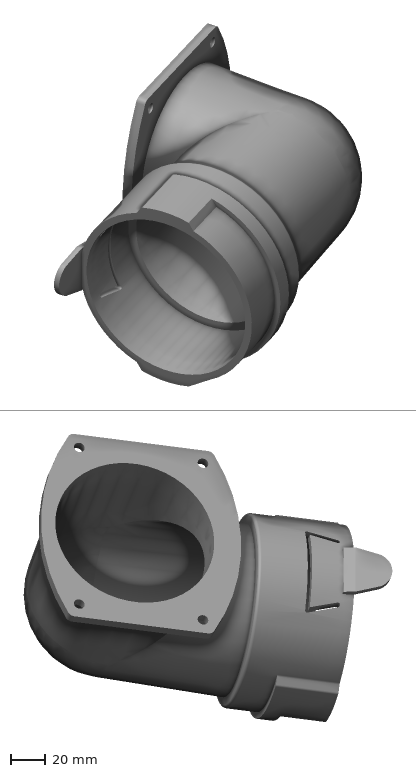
import cadquery as cq
import math


bend_radius = 49.0
bend_bore_radius = 45.5
pipe_end_radius = 51.3
bore_end_radius = 47.7

flange_face = -68.5
flange_thickness = 6.0
flange_height = 126.0
flange_width = 120.0
flange_offset = -3.8
flange_side_radius = 122.0
flange_corner_radius = 4.2
screw_hole_diameter = 6.4
screw_spacing_y = 74.2
screw_spacing_z = 108.1

collar_back = -76.1
collar_mouth = -134.6
collar_radius = 115.0 / 2
collar_bore_radius = 106.0 / 2
collar_shoulder_depth = 2.5
collar_shoulder_drop = 0.6
collar_shoulder_radius = 2.0
collar_shelf = -84.8

rim_radius = 61.3
pad_back = -97.0
band_width = 10.2
pad_start_foot_x = -19.5
pad_start_crest_x = -16.1
pad_end_crest_x = 15.3
upper_pad_end_foot_x = 18.5
lower_pad_end_foot_x = 29.3
pad_fillet = 2.0

slot_width = 2.5
slot_y = -107.7
slot_half_height = 26.7
slot_tip_y = -125.5
slot_tip_half_height = 21.8
slot_cut_depth = 25.5
tab_root_y = -127.8
tab_tip_y = flange_offset + flange_width / 2 - 212.0
tab_root_x = -57.7
tab_mouth_x = -59.5
tab_tip_x = -63.0
tab_thickness = 3.4
tab_half_width = 15.3
tab_shoulder_half_width = 10.8
tab_shoulder_y = -149.2


def cone_along_y(start_radius, end_radius, end_y):
    """Solid cone from the origin to end_y on the -Y axis."""
    outline = [(0, 0), (start_radius, 0), (end_radius, end_y), (0, end_y)]
    return cq.Workplane("XY").polyline(outline).close().revolve(360, (0, 0), (0, 1))


def cone_along_x(start_radius, end_radius, end_x):
    """Solid cone from the origin to end_x on the -X axis."""
    outline = [(0, 0), (0, start_radius), (end_x, end_radius), (end_x, 0)]
    return cq.Workplane("XY").polyline(outline).close().revolve(360, (0, 0), (1, 0))


def elbow(corner_radius, end_radius, end_x, end_y):
    """Two tapered legs joined by a ball at the corner."""
    ball = cq.Workplane("XY").sphere(corner_radius)
    leg_x = cone_along_x(corner_radius, end_radius, end_x)
    leg_y = cone_along_y(corner_radius, end_radius, end_y)
    return leg_x.union(leg_y).union(ball)


def flange():
    """Plate with flat top and bottom, bowed sides and four screw holes."""
    side_centre = flange_width / 2 - flange_side_radius
    plane = cq.Workplane("YZ", origin=(flange_face, flange_offset, 0))
    plate = plane.rect(flange_width, flange_height).extrude(flange_thickness)
    for side in (-1, 1):
        disc = plane.center(side * side_centre, 0).circle(flange_side_radius).extrude(flange_thickness)
        plate = plate.intersect(disc)
    plate = plate.edges("|X").fillet(flange_corner_radius)
    holes = (
        plane.rect(screw_spacing_y, screw_spacing_z, forConstruction=True)
        .vertices()
        .circle(screw_hole_diameter / 2)
        .extrude(flange_thickness)
    )
    return plate.cut(holes)


def collar_body():
    """Plain round collar with a rounded back shoulder."""
    return (
        cq.Workplane("XY")
        .moveTo(0, collar_back)
        .lineTo(pipe_end_radius, collar_back)
        .lineTo(collar_radius - collar_shoulder_radius, collar_back - collar_shoulder_drop)
        .radiusArc((collar_radius, collar_back - collar_shoulder_depth), collar_shoulder_radius)
        .lineTo(collar_radius, collar_mouth)
        .lineTo(0, collar_mouth)
        .close()
        .revolve(360, (0, 0), (0, 1))
    )


def cylinder_along_y(radius, back, front):
    plane = cq.Workplane("XZ", origin=(0, back, 0))
    return plane.circle(radius).extrude(back - front)


def band():
    """Half ring on the +X side, ending under the two pads."""
    half_space = cq.Workplane("XY").box(
        2 * rim_radius, 4 * rim_radius, 4 * rim_radius, centered=(False, True, True)
    )
    return cylinder_along_y(rim_radius, pad_back, pad_back - band_width).intersect(half_space)


def height_on_circle(radius, x):
    return math.sqrt(radius**2 - x**2)


def pad(end_foot_x):
    """Raised pad on the +Z side with sloping end walls."""
    return (
        cq.Workplane("XZ", origin=(0, pad_back, 0))
        .moveTo(pad_start_foot_x, height_on_circle(collar_radius, pad_start_foot_x))
        .lineTo(pad_start_crest_x, height_on_circle(rim_radius, pad_start_crest_x))
        .threePointArc((0, rim_radius), (pad_end_crest_x, height_on_circle(rim_radius, pad_end_crest_x)))
        .lineTo(end_foot_x, height_on_circle(collar_radius, end_foot_x))
        .lineTo(0, collar_bore_radius)
        .close()
        .extrude(pad_back - collar_mouth)
    )


def collar_with_rim():
    """Collar with its two pads and the band, the leading pad edges rounded."""
    body = collar_body().union(band()).union(pad(upper_pad_end_foot_x))
    body = body.union(pad(lower_pad_end_foot_x).mirror("XY"))
    leading_edges = cq.selectors.BoxSelector(
        (-collar_radius / 2, collar_mouth, -rim_radius),
        (-collar_radius / 4, pad_back, rim_radius),
    )
    return body.edges("|Y").edges(leading_edges).fillet(pad_fillet)


def slot_leg(start, end):
    """Round-ended slot cutter between two (y, z) points, through the -X wall."""
    run = end[0] - start[0]
    rise = end[1] - start[1]
    middle = ((start[0] + end[0]) / 2, (start[1] + end[1]) / 2)
    return (
        cq.Workplane("YZ", origin=(-rim_radius, 0, 0))
        .center(*middle)
        .slot2D(math.hypot(run, rise) + slot_width, slot_width, math.degrees(math.atan2(rise, run)))
        .extrude(slot_cut_depth)
    )


def latch_slot():
    upper_corner = (slot_y, slot_half_height)
    lower_corner = (slot_y, -slot_half_height)
    cutter = slot_leg(lower_corner, upper_corner)
    cutter = cutter.union(slot_leg(upper_corner, (slot_tip_y, slot_tip_half_height)))
    return cutter.union(slot_leg(lower_corner, (slot_tip_y, -slot_tip_half_height)))


def finger_tab():
    """Sloping plate trimmed to a rounded tongue."""
    slope = [
        (tab_root_x, tab_root_y),
        (tab_mouth_x, collar_mouth),
        (tab_tip_x, tab_tip_y),
        (tab_tip_x + tab_thickness, tab_tip_y),
        (tab_mouth_x + tab_thickness, collar_mouth),
        (tab_root_x + tab_thickness, tab_root_y),
    ]
    plate = cq.Workplane("XY").polyline(slope).close().extrude(tab_half_width, both=True)
    tongue = (
        cq.Workplane("YZ")
        .moveTo(tab_root_y, -tab_half_width)
        .lineTo(collar_mouth, -tab_half_width)
        .lineTo(tab_shoulder_y, -tab_shoulder_half_width)
        .threePointArc((tab_tip_y, 0), (tab_shoulder_y, tab_shoulder_half_width))
        .lineTo(collar_mouth, tab_half_width)
        .lineTo(tab_root_y, tab_half_width)
        .close()
        .extrude(2 * tab_tip_x)
    )
    return plate.intersect(tongue)


outside = elbow(bend_radius, pipe_end_radius, flange_face + flange_thickness, collar_back)
bore = elbow(bend_bore_radius, bore_end_radius, flange_face, collar_shelf)
collar_bore = cylinder_along_y(collar_bore_radius, collar_shelf, collar_mouth)

result = outside.union(flange()).union(collar_with_rim()).union(finger_tab())
result = result.cut(bore).cut(collar_bore).cut(latch_slot())